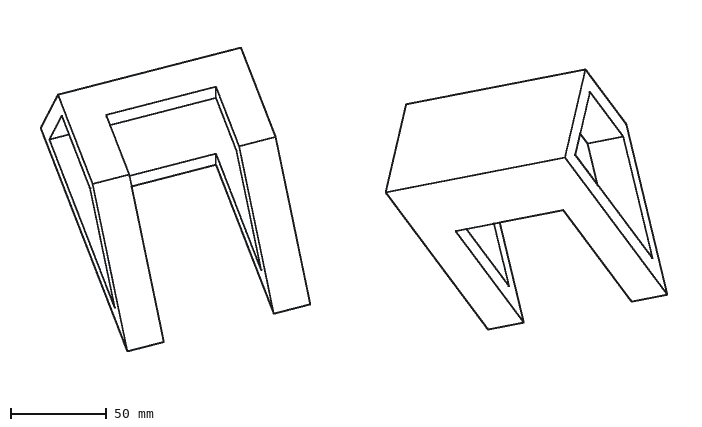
import cadquery as cq

length = 150.0
width = length * 2 / 3
height = 70.0

top_start = 30.0
top_end = 90.0
wall = 10.0

slot_start = length / 3
slot_width = 60.0


def side_profile():
    """Trapezoidal outline in the XZ plane, facing -Y."""
    return cq.Workplane("XZ").polyline(
        [(0, 0), (length, 0), (top_end, height), (top_start, height)]
    ).close()


body = side_profile().extrude(-width)
window = side_profile().offset2D(-wall).extrude(-width)

slot = cq.Workplane("XY").box(
    length - slot_start, slot_width, height, centered=(False, True, False)
).translate((slot_start, width / 2, 0))

result = body.cut(window).cut(slot)